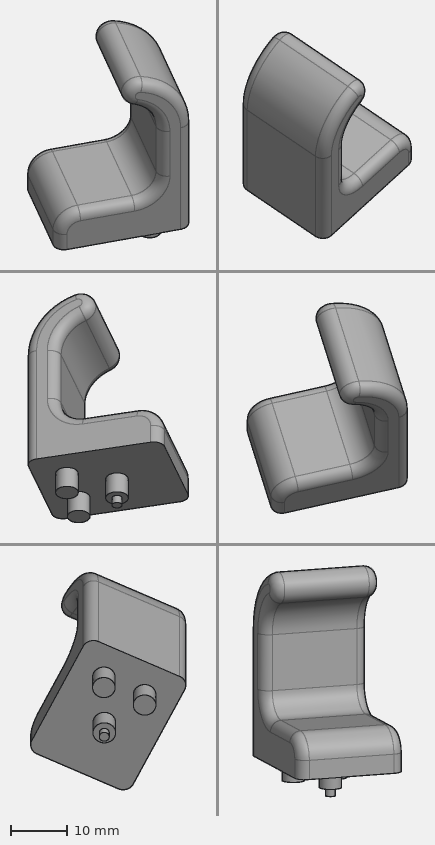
import cadquery as cq
import math

width = 20.0
depth = 25.0
total_height = 40.2

seat_height = 8.0
upright_thickness = 6.0
seat_corner_radius = 4.5
seat_nose_radius = 4.5
edge_radius = 2.0

outer_bend_start = 23.0
outer_bend_radius = 11.98
tip_radius = 2.8
inner_bend_radius = 7.0

peg_diameter = 4.0
peg_length = 4.0
rear_peg_setback = 6.0
front_peg_setback = 14.1
pin_diameter = 1.75

body_height = 34.65
pin_length = total_height - body_height - peg_length


def point_on_circle(center, radius, angle):
    """Point at the given angle, in radians, on a circle in the YZ plane."""
    return (center[0] + radius * math.cos(angle), center[1] + radius * math.sin(angle))


outer_center = (-outer_bend_radius, outer_bend_start)
tip_orbit_radius = outer_bend_radius - tip_radius
tip_z = body_height - tip_radius
outer_bend_angle = math.asin((tip_z - outer_bend_start) / tip_orbit_radius)
tip_center = point_on_circle(outer_center, tip_orbit_radius, outer_bend_angle)

inner_y = -upright_thickness - inner_bend_radius
inner_drop = math.sqrt((inner_bend_radius + tip_radius) ** 2 - (tip_center[0] - inner_y) ** 2)
inner_center = (inner_y, tip_center[1] - inner_drop)
inner_bend_angle = math.atan2(inner_drop, tip_center[0] - inner_y)

tip_start = point_on_circle(outer_center, outer_bend_radius, outer_bend_angle)
tip_end = point_on_circle(inner_center, inner_bend_radius, inner_bend_angle)
tip_mid_angle = (outer_bend_angle + inner_bend_angle + math.pi) / 2


def make_body():
    """Side profile extruded across the width, with its side edges rounded."""
    profile = (
        cq.Workplane("YZ")
        .moveTo(0, 0)
        .lineTo(0, outer_bend_start)
        .threePointArc(point_on_circle(outer_center, outer_bend_radius, outer_bend_angle / 2), tip_start)
        .threePointArc(point_on_circle(tip_center, tip_radius, tip_mid_angle), tip_end)
        .threePointArc(
            point_on_circle(inner_center, inner_bend_radius, inner_bend_angle / 2),
            (-upright_thickness, inner_center[1]),
        )
        .lineTo(-upright_thickness, seat_height + seat_corner_radius)
        .radiusArc((-upright_thickness - seat_corner_radius, seat_height), seat_corner_radius)
        .lineTo(-depth + seat_nose_radius, seat_height)
        .radiusArc((-depth, seat_height - seat_nose_radius), -seat_nose_radius)
        .lineTo(-depth, 0)
        .close()
    )
    body = profile.extrude(width / 2, both=True)
    return body.faces("<X or >X").edges("not <Z").fillet(edge_radius)


def make_post(x, setback, diameter, length):
    """Round post hanging from the underside of the body."""
    return cq.Workplane("XY").center(x, -setback).circle(diameter / 2).extrude(-length)


result = make_body()
for side in (-1, 1):
    result = result.union(make_post(side * peg_diameter, rear_peg_setback, peg_diameter, peg_length))
result = result.union(make_post(0, front_peg_setback, peg_diameter, peg_length))
result = result.union(make_post(0, front_peg_setback, pin_diameter, peg_length + pin_length))